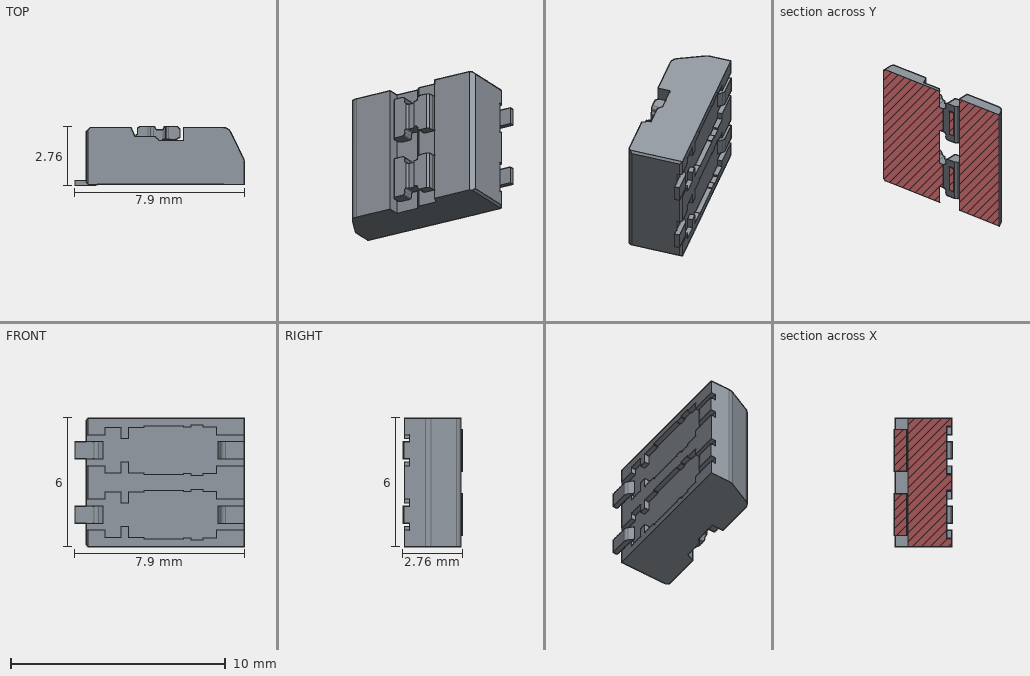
import cadquery as cq

LENGTH = 7.38
DEPTH = 2.65
HEIGHT = 6.0
LEFT_CHAMFER = 0.1
BACK_LEFT_CHAMFER = 0.2

SLOPE_START_X = 6.64
SLOPE_END_Y = 1.13
SLOPE_BACK_RADIUS = 0.4
SLOPE_RIGHT_RADIUS = 0.6

NOTCH_LEFT = 2.10
NOTCH_FLOOR_LEFT = 2.28
NOTCH_STEP_START = 3.21
NOTCH_STEP_END = 3.40
NOTCH_RIGHT = 4.54
NOTCH_SHALLOW = 0.41
NOTCH_DEEP = 0.60
SHALLOW_FLOOR_Y = DEPTH - NOTCH_SHALLOW
DEEP_FLOOR_Y = DEPTH - NOTCH_DEEP

CONTACT_PITCH = 3.0
CONTACT_CENTRES = (-CONTACT_PITCH / 2, CONTACT_PITCH / 2)

POCKET_DEPTH = 0.24
POCKET_STEPS = (
    (0.88, 0.725),
    (1.63, 1.055),
    (1.97, 0.54),
    (2.70, 1.055),
    (4.54, 1.13),
    (4.90, 1.085),
    (5.44, 1.175),
    (6.085, 1.085),
    (LENGTH, 0.725),
)

TAB_HEIGHT = 0.8
LEFT_TAB_START = -0.52
LEFT_TAB_OUTER_Y = -0.06
LEFT_TAB_INNER_Y = 0.18
LEFT_TAB_BEND_START = 0.36
LEFT_TAB_BEND_END = 0.57
LEFT_TAB_BEND_DEPTH = 0.09
LEFT_TAB_FOOT = 0.78
LEFT_TAB_INNER_BEND_START = 0.32
RIGHT_TAB_FOOT = 6.14
RIGHT_TAB_BEND_START = 6.30
RIGHT_TAB_BEND_END = 6.50
RIGHT_TAB_BEND_DEPTH = 0.08
RIGHT_TAB_OUTER_Y = -0.02
TAB_ROOT = 0.1

SPRING_PROTRUSION = 0.05
SPRING_TOP_Y = DEPTH + SPRING_PROTRUSION
SPRING_SADDLE_Y = DEPTH - 0.10
SPRING_ROOT_Y = DEEP_FLOOR_Y - 0.1
SPRING_LEFT = 2.39
SPRING_RIGHT = 4.38
SPRING_LEFT_LOW_Y = SHALLOW_FLOOR_Y + 0.11
SPRING_LEFT_HIGH_Y = DEPTH - 0.03
NARROW_TOP_LEFT = 2.52
NARROW_TOP_RIGHT = 3.19
SADDLE_LEFT = 3.28
WIDE_TOP_LEFT = 3.65
WIDE_TOP_RIGHT = 4.26
SPRING_RIGHT_HIGH_Y = DEPTH - 0.08
SPRING_RIGHT_LOW_Y = DEEP_FLOOR_Y + 0.14
WIDE_BOTTOM_RIGHT = 4.22
WIDE_LOBE_LEFT = 3.58
WIDE_LOBE_BOTTOM_Y = DEEP_FLOOR_Y + 0.05
WIDE_LOBE_ROOT_LEFT = 3.93
WIDE_LOBE_ROOT_RIGHT = 4.19
NARROW_LOBE_HALF = 0.87
SADDLE_HALF = 0.63
WIDE_LOBE_HALF = 0.98
WIDE_LOBE_ROOT_HALF = SADDLE_HALF
NARROW_BEND_START = 2.88
NARROW_BEND_END = 3.14
WIDE_BEND_END = 3.84


def extrude_along_z(outline, height, centre_z=0.0):
    """Extrude a closed XY outline symmetrically about centre_z."""
    return outline.extrude(height / 2, both=True).translate((0, 0, centre_z))


def make_housing():
    outline = (
        cq.Workplane("XY")
        .moveTo(0, 0)
        .lineTo(LENGTH, 0)
        .lineTo(LENGTH, SLOPE_END_Y)
        .lineTo(SLOPE_START_X, DEPTH)
        .lineTo(0, DEPTH)
        .close()
    )
    body = extrude_along_z(outline, HEIGHT)
    body = fillet_upright_edge(body, SLOPE_START_X, DEPTH, SLOPE_BACK_RADIUS)
    body = fillet_upright_edge(body, LENGTH, SLOPE_END_Y, SLOPE_RIGHT_RADIUS)
    return body.intersect(make_left_bevels())


def fillet_upright_edge(body, x, y, radius):
    edge = cq.selectors.NearestToPointSelector((x, y, 0))
    return body.edges(edge).fillet(radius)


def make_left_bevels():
    """Block that trims the four edges of the left face."""
    plan = (
        cq.Workplane("XY")
        .moveTo(0, LEFT_CHAMFER)
        .lineTo(LEFT_CHAMFER, 0)
        .lineTo(LENGTH, 0)
        .lineTo(LENGTH, DEPTH)
        .lineTo(BACK_LEFT_CHAMFER, DEPTH)
        .lineTo(0, DEPTH - BACK_LEFT_CHAMFER)
        .close()
    )
    block = extrude_along_z(plan, HEIGHT)
    elevation = (
        cq.Workplane("XZ")
        .moveTo(0, LEFT_CHAMFER - HEIGHT / 2)
        .lineTo(LEFT_CHAMFER, -HEIGHT / 2)
        .lineTo(LENGTH, -HEIGHT / 2)
        .lineTo(LENGTH, HEIGHT / 2)
        .lineTo(LEFT_CHAMFER, HEIGHT / 2)
        .lineTo(0, HEIGHT / 2 - LEFT_CHAMFER)
        .close()
        .extrude(-DEPTH)
    )
    return block.intersect(elevation)


def make_back_notch():
    outline = (
        cq.Workplane("XY")
        .moveTo(NOTCH_LEFT, DEPTH)
        .lineTo(NOTCH_FLOOR_LEFT, SHALLOW_FLOOR_Y)
        .lineTo(NOTCH_STEP_START, SHALLOW_FLOOR_Y)
        .lineTo(NOTCH_STEP_END, DEEP_FLOOR_Y)
        .lineTo(NOTCH_RIGHT, DEEP_FLOOR_Y)
        .lineTo(NOTCH_RIGHT, DEPTH)
        .close()
    )
    return extrude_along_z(outline, HEIGHT)


def make_pocket(centre_z):
    """Front pocket, built from side-by-side steps mirrored about centre_z."""
    pocket = cq.Workplane("XY")
    start_x = 0
    for end_x, half_height in POCKET_STEPS:
        step = cq.Workplane("XY").box(
            end_x - start_x, POCKET_DEPTH, 2 * half_height, centered=(False, False, True)
        )
        pocket = pocket.union(step.translate((start_x, 0, centre_z)))
        start_x = end_x
    return pocket


def make_left_tab(centre_z):
    """Tab reaching out past the left face, bent inwards to the pocket floor."""
    rise_to_floor = POCKET_DEPTH - LEFT_TAB_INNER_Y
    root_y = POCKET_DEPTH + TAB_ROOT
    floor_contact_x = LEFT_TAB_INNER_BEND_START + rise_to_floor
    outline = (
        cq.Workplane("XY")
        .moveTo(LEFT_TAB_START, LEFT_TAB_OUTER_Y)
        .lineTo(LEFT_TAB_BEND_START, LEFT_TAB_OUTER_Y)
        .tangentArcPoint((LEFT_TAB_BEND_END, LEFT_TAB_OUTER_Y + LEFT_TAB_BEND_DEPTH), relative=False)
        .lineTo(LEFT_TAB_FOOT, POCKET_DEPTH)
        .lineTo(LEFT_TAB_FOOT, root_y)
        .lineTo(floor_contact_x, root_y)
        .lineTo(floor_contact_x, POCKET_DEPTH)
        .lineTo(LEFT_TAB_INNER_BEND_START, LEFT_TAB_INNER_Y)
        .lineTo(LEFT_TAB_START, LEFT_TAB_INNER_Y)
        .close()
    )
    return extrude_along_z(outline, TAB_HEIGHT, centre_z)


def make_right_tab(centre_z):
    """Tab rising from the pocket floor and running to the right face."""
    root_y = POCKET_DEPTH + TAB_ROOT
    outline = (
        cq.Workplane("XY")
        .moveTo(RIGHT_TAB_FOOT, root_y)
        .lineTo(LENGTH, root_y)
        .lineTo(LENGTH, RIGHT_TAB_OUTER_Y)
        .lineTo(RIGHT_TAB_BEND_END, RIGHT_TAB_OUTER_Y)
        .tangentArcPoint((RIGHT_TAB_BEND_START, RIGHT_TAB_OUTER_Y + RIGHT_TAB_BEND_DEPTH), relative=False)
        .lineTo(RIGHT_TAB_FOOT, POCKET_DEPTH)
        .close()
    )
    return extrude_along_z(outline, TAB_HEIGHT, centre_z)


def make_spring(centre_z):
    """Contact spring: a narrow lobe and a wide lobe joined by a lower saddle."""
    plan = (
        cq.Workplane("XY")
        .moveTo(NOTCH_FLOOR_LEFT, SHALLOW_FLOOR_Y)
        .lineTo(SPRING_LEFT, SPRING_LEFT_LOW_Y)
        .lineTo(SPRING_LEFT, SPRING_LEFT_HIGH_Y)
        .lineTo(NARROW_TOP_LEFT, SPRING_TOP_Y)
        .lineTo(NARROW_TOP_RIGHT, SPRING_TOP_Y)
        .lineTo(SADDLE_LEFT, SPRING_SADDLE_Y)
        .lineTo(WIDE_LOBE_LEFT, SPRING_SADDLE_Y)
        .lineTo(WIDE_TOP_LEFT, SPRING_TOP_Y)
        .lineTo(WIDE_TOP_RIGHT, SPRING_TOP_Y)
        .lineTo(SPRING_RIGHT, SPRING_RIGHT_HIGH_Y)
        .lineTo(SPRING_RIGHT, SPRING_RIGHT_LOW_Y)
        .lineTo(WIDE_BOTTOM_RIGHT, WIDE_LOBE_BOTTOM_Y)
        .lineTo(WIDE_LOBE_LEFT, WIDE_LOBE_BOTTOM_Y)
        .lineTo(WIDE_LOBE_LEFT, SPRING_ROOT_Y)
        .lineTo(NOTCH_FLOOR_LEFT, SPRING_ROOT_Y)
        .close()
    )
    prism = extrude_along_z(plan, 2 * WIDE_LOBE_HALF)
    elevation = make_spring_half_elevation()
    elevation = elevation.union(elevation.mirror("XY"))
    spring = prism.intersect(elevation).union(make_wide_lobe_root())
    return spring.translate((0, 0, centre_z))


def make_wide_lobe_root():
    """Short foot that carries the wide lobe on the notch floor."""
    root = cq.Workplane("XY").box(
        WIDE_LOBE_ROOT_RIGHT - WIDE_LOBE_ROOT_LEFT,
        SPRING_SADDLE_Y - SPRING_ROOT_Y,
        2 * WIDE_LOBE_ROOT_HALF,
        centered=(False, False, True),
    )
    return root.translate((WIDE_LOBE_ROOT_LEFT, SPRING_ROOT_Y, 0))


def make_spring_half_elevation():
    """Upper half of the spring as seen along Y, with S-bends between its three heights."""
    return (
        cq.Workplane("XZ")
        .moveTo(NOTCH_FLOOR_LEFT, 0)
        .lineTo(NOTCH_FLOOR_LEFT, NARROW_LOBE_HALF)
        .lineTo(NARROW_BEND_START, NARROW_LOBE_HALF)
        .tangentArcPoint(
            ((NARROW_BEND_START + NARROW_BEND_END) / 2, (NARROW_LOBE_HALF + SADDLE_HALF) / 2), relative=False
        )
        .tangentArcPoint((NARROW_BEND_END, SADDLE_HALF), relative=False)
        .lineTo(WIDE_LOBE_LEFT, SADDLE_HALF)
        .tangentArcPoint(
            ((WIDE_LOBE_LEFT + WIDE_BEND_END) / 2, (SADDLE_HALF + WIDE_LOBE_HALF) / 2), relative=False
        )
        .tangentArcPoint((WIDE_BEND_END, WIDE_LOBE_HALF), relative=False)
        .lineTo(SPRING_RIGHT, WIDE_LOBE_HALF)
        .lineTo(SPRING_RIGHT, 0)
        .close()
        .extrude(-SPRING_TOP_Y)
    )


result = make_housing().cut(make_back_notch())
for contact_z in CONTACT_CENTRES:
    result = (
        result.cut(make_pocket(contact_z))
        .union(make_left_tab(contact_z))
        .union(make_right_tab(contact_z))
        .union(make_spring(contact_z))
    )